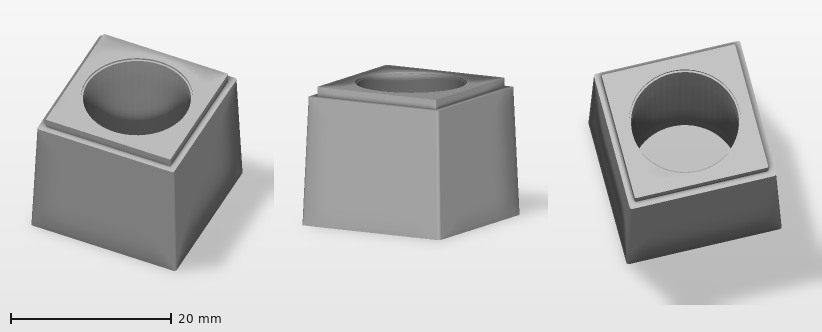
import cadquery as cq

base_side = 20.0
total_height = 17.5

body_top_side = 18.85
step_height = 1.2
body_height = total_height - step_height
corner_radius = 0.32

step_side = 17.2
step_corner_radius = 0.15

bore_diameter = 13.5
counterbore_diameter = 14.0
counterbore_depth = 0.25


def rounded_square(side, radius):
    return cq.Sketch().rect(side, side).vertices().fillet(radius)


def make_body():
    """Tapered square block with rounded corners."""
    lower = rounded_square(base_side, corner_radius)
    upper = rounded_square(body_top_side, corner_radius)
    upper = upper.moved(cq.Location(cq.Vector(0, 0, body_height)))
    return cq.Workplane("XY").placeSketch(lower, upper).loft()


def make_step():
    profile = rounded_square(step_side, step_corner_radius)
    return cq.Workplane("XY").workplane(offset=body_height).placeSketch(profile).extrude(step_height)


def make_bore():
    bore = cq.Workplane("XY").circle(bore_diameter / 2).extrude(total_height)
    counterbore = (
        cq.Workplane("XY")
        .workplane(offset=total_height - counterbore_depth)
        .circle(counterbore_diameter / 2)
        .extrude(counterbore_depth)
    )
    return bore.union(counterbore)


result = make_body().union(make_step()).cut(make_bore())